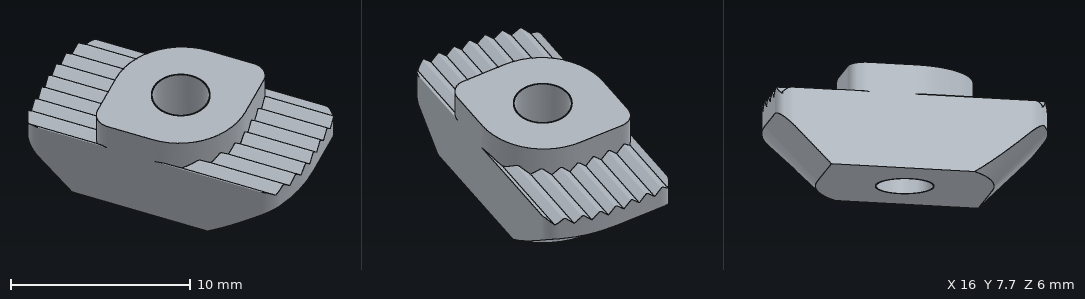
import cadquery as cq
import math

LENGTH = 16.0
WIDTH = 7.7
HEIGHT = 6.0
HALF_LENGTH = LENGTH / 2
HALF_WIDTH = WIDTH / 2

SLOPE_TOP = 3.0
BOTTOM_REACH = HALF_LENGTH - SLOPE_TOP
CORNER_RADIUS = 1.0

SIDE_TEETH = 3
TIP_SPAN = 6.0
TOOTH_PITCH = TIP_SPAN / (2 * SIDE_TEETH)
TOOTH_DEPTH = TOOTH_PITCH / 2
TOOTH_TIP = 4.55
TIP_RADIUS = 0.1
SIDE_EDGE_RADIUS = 0.04

BOSS_ARC_RADIUS = 4.0

HOLE_DIAMETER = 3.3
SLEEVE_BORE = 3.2


def half_turn(body):
    """Copy of a body turned half a turn about Z."""
    return body.rotate((0, 0, 0), (0, 0, 1), 180)


def base_plan():
    """Rounded end plan: two diagonal quarters follow a circle so that the nut can turn in its slot."""
    arc_end = math.sqrt(HALF_LENGTH**2 - HALF_WIDTH**2)
    middle_angle = math.asin(HALF_WIDTH / HALF_LENGTH) / 2
    arc_x = HALF_LENGTH * math.cos(middle_angle)
    arc_y = HALF_LENGTH * math.sin(middle_angle)
    return (
        cq.Workplane("XY")
        .moveTo(-HALF_LENGTH, 0)
        .lineTo(-HALF_LENGTH, -HALF_WIDTH)
        .lineTo(arc_end, -HALF_WIDTH)
        .threePointArc((arc_x, -arc_y), (HALF_LENGTH, 0))
        .lineTo(HALF_LENGTH, HALF_WIDTH)
        .lineTo(-arc_end, HALF_WIDTH)
        .threePointArc((-arc_x, arc_y), (-HALF_LENGTH, 0))
        .close()
        .extrude(HEIGHT)
        .edges("|Z").edges(">Y or <Y")
        .fillet(CORNER_RADIUS)
    )


def end_profile():
    """Half of the long section through the base, from the Z axis to the +X end."""
    return (
        cq.Workplane("XZ")
        .polyline([
            (0, 0),
            (BOTTOM_REACH, 0),
            (HALF_LENGTH, SLOPE_TOP),
            (HALF_LENGTH, HEIGHT),
            (0, HEIGHT),
        ])
        .close()
    )


def sloped_underside():
    """Conical underside below the circular quarters, flat slopes below the straight ones."""
    cone = end_profile().revolve(360, (0, 0), (0, 1))
    straight_quarter = end_profile().extrude(-HALF_WIDTH)
    return cone.union(straight_quarter).union(half_turn(straight_quarter))


def serrated_block():
    """Full-length block whose top is cut into teeth, with a tooth on the centre line."""
    valley = TOOTH_TIP - TOOTH_DEPTH
    outer_valley_y = (SIDE_TEETH + 0.5) * TOOTH_PITCH
    side_height = valley + HALF_WIDTH - outer_valley_y
    points = [(-HALF_WIDTH, 0), (-HALF_WIDTH, side_height)]
    for tooth in range(-SIDE_TEETH, SIDE_TEETH + 1):
        tip_y = tooth * TOOTH_PITCH
        points += [(tip_y - TOOTH_PITCH / 2, valley), (tip_y, TOOTH_TIP)]
    points += [(outer_valley_y, valley), (HALF_WIDTH, side_height), (HALF_WIDTH, 0)]
    return (
        cq.Workplane("YZ")
        .polyline(points)
        .close()
        .extrude(HALF_LENGTH, both=True)
        .edges("|X").edges(">Z")
        .fillet(TIP_RADIUS)
        .edges("|X").edges(">Y or <Y").edges(">Z")
        .fillet(SIDE_EDGE_RADIUS)
    )


def make_boss():
    """Square boss with two large and two small opposite corner roundings."""
    corner = HALF_WIDTH
    tangent = BOSS_ARC_RADIUS - HALF_WIDTH
    arc_middle = BOSS_ARC_RADIUS * math.sqrt(0.5) - tangent
    return (
        cq.Workplane("XY")
        .workplane(offset=SLOPE_TOP)
        .moveTo(-corner, -corner)
        .lineTo(-tangent, -corner)
        .threePointArc((arc_middle, -arc_middle), (corner, tangent))
        .lineTo(corner, corner)
        .lineTo(tangent, corner)
        .threePointArc((-arc_middle, arc_middle), (-corner, -tangent))
        .close()
        .extrude(HEIGHT - SLOPE_TOP)
        .edges("|Z").edges(">(1, 1, 0) or <(1, 1, 0)")
        .fillet(CORNER_RADIUS)
    )


def make_slot_nut():
    """Serrated base with its boss and a through hole."""
    base = base_plan().intersect(sloped_underside()).intersect(serrated_block())
    hole = cq.Workplane("XY").circle(HOLE_DIAMETER / 2).extrude(HEIGHT)
    return base.union(make_boss()).cut(hole).solids()


def make_thread_sleeve():
    """Thin tube that lines the hole over its full height."""
    return cq.Workplane("XY").circle(HOLE_DIAMETER / 2).circle(SLEEVE_BORE / 2).extrude(HEIGHT)


slot_nut = make_slot_nut()
thread_sleeve = make_thread_sleeve()

result = cq.Compound.makeCompound([slot_nut.val(), thread_sleeve.val()])